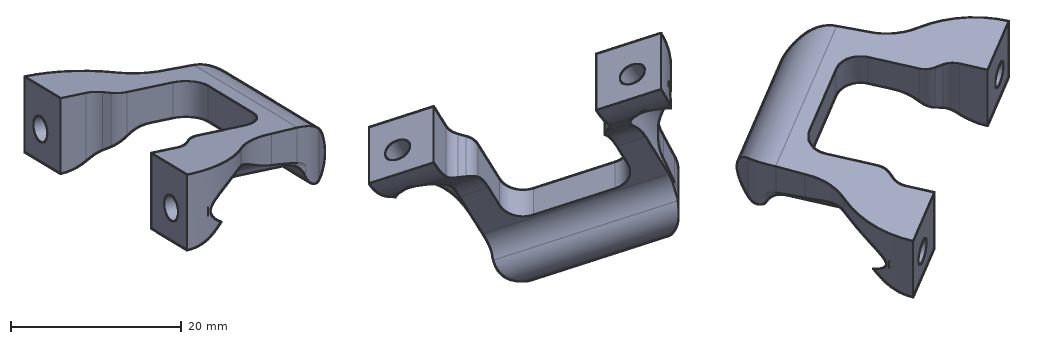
import cadquery as cq
import math

WIDTH = 37.6
DEPTH = 25.0
HEIGHT = 9.5

REAR_EDGE_HALF_WIDTH = 8.3
BRIDGE_HALF_WIDTH = 12.0
BRIDGE_CORNER_Y = 19.0
WAIST_HALF_WIDTH = 12.2
WAIST_Y = 15.4
FOOT_OUTER_RADIUS = 13.6

FOOT_INNER_X = 10.45
ARM_INNER_X = 8.25
BRIDGE_FRONT_Y = 17.0
INNER_CORNER_RADIUS = 3.0
JOG_START_Y = 3.5
JOG_RADIUS = 2.5

ARM_UNDERSIDE_Z = 5.0
ARM_UNDERSIDE_START_Y = 10.8
KNEE_RADIUS = 5.0
SOLE_RADIUS = 7.0
CREST_RADIUS = 6.0
LIP_RADIUS = 2.5
LIP_CENTER_Z = 4.05
LIP_FILLET_RADIUS = 3.0

SCREW_SPACING = 30.2
SCREW_Z = 4.1
SCREW_DIAMETER = 3.2
HEAD_DIAMETER = 6.5
SCREW_SEAT_Y = 3.1


def toward(start, target, distance):
    """Point at the given distance from start, in the direction of target."""
    share = distance / math.dist(start, target)
    return (
        start[0] + share * (target[0] - start[0]),
        start[1] + share * (target[1] - start[1]),
    )


def polar(center, radius, degrees):
    """Point on a circle at the given angle."""
    angle = math.radians(degrees)
    return (center[0] + radius * math.cos(angle), center[1] + radius * math.sin(angle))


def arc(sketch, center, radius, end):
    """Continue the sketch to end along the shorter arc about center."""
    start = sketch.plane.toLocalCoords(sketch.val().endPoint())
    middle_of_chord = ((start.x + end[0]) / 2, (start.y + end[1]) / 2)
    return sketch.threePointArc(toward(center, middle_of_chord, radius), end)


def half_plan():
    """Right half of the plan outline, as a prism of full height."""
    cut_length = DEPTH - BRIDGE_CORNER_Y
    cut_offset = cut_length - (BRIDGE_HALF_WIDTH - REAR_EDGE_HALF_WIDTH)
    corner_radius = cut_offset / (math.sqrt(2) - 1)
    corner_center = (BRIDGE_HALF_WIDTH - corner_radius, BRIDGE_CORNER_Y)

    foot_center = (WIDTH / 2 - FOOT_OUTER_RADIUS, 0)
    gap = WAIST_HALF_WIDTH - foot_center[0]
    waist_radius = (gap**2 + WAIST_Y**2 - FOOT_OUTER_RADIUS**2) / (2 * (FOOT_OUTER_RADIUS - gap))
    waist_center = (WAIST_HALF_WIDTH + waist_radius, WAIST_Y)

    jog_width = FOOT_INNER_X - ARM_INNER_X
    jog_length = jog_width + 2 * JOG_RADIUS * (math.sqrt(2) - 1)
    jog_end_y = JOG_START_Y + jog_length
    jog_low_center = (FOOT_INNER_X - JOG_RADIUS, JOG_START_Y)
    jog_high_center = (ARM_INNER_X + JOG_RADIUS, jog_end_y)

    inner_corner_center = (ARM_INNER_X - INNER_CORNER_RADIUS, BRIDGE_FRONT_Y - INNER_CORNER_RADIUS)

    outline = cq.Workplane("XY").moveTo(0, DEPTH).lineTo(REAR_EDGE_HALF_WIDTH, DEPTH)
    outline = outline.lineTo(*polar(corner_center, corner_radius, 45))
    outline = arc(outline, corner_center, corner_radius, (BRIDGE_HALF_WIDTH, BRIDGE_CORNER_Y))
    outline = outline.lineTo(WAIST_HALF_WIDTH, WAIST_Y)
    outline = arc(outline, waist_center, waist_radius, toward(waist_center, foot_center, waist_radius))
    outline = arc(outline, foot_center, FOOT_OUTER_RADIUS, (WIDTH / 2, 0))
    outline = outline.lineTo(FOOT_INNER_X, 0).lineTo(FOOT_INNER_X, JOG_START_Y)
    outline = arc(outline, jog_low_center, JOG_RADIUS, polar(jog_low_center, JOG_RADIUS, 45))
    outline = outline.lineTo(*polar(jog_high_center, JOG_RADIUS, 225))
    outline = arc(outline, jog_high_center, JOG_RADIUS, (ARM_INNER_X, jog_end_y))
    outline = outline.lineTo(ARM_INNER_X, inner_corner_center[1])
    outline = arc(outline, inner_corner_center, INNER_CORNER_RADIUS, (inner_corner_center[0], BRIDGE_FRONT_Y))
    return outline.lineTo(0, BRIDGE_FRONT_Y).close().extrude(HEIGHT)


def side_profile():
    """Side profile with the rear lip and the S-shaped underside, as a full-width prism."""
    lip_center = (DEPTH - LIP_RADIUS, LIP_CENTER_Z)
    crest_center_z = HEIGHT - CREST_RADIUS
    crest_run = math.sqrt((CREST_RADIUS - LIP_RADIUS) ** 2 - (LIP_CENTER_Z - crest_center_z) ** 2)
    crest_center = (lip_center[0] - crest_run, crest_center_z)

    fillet_center_z = ARM_UNDERSIDE_Z - LIP_FILLET_RADIUS
    fillet_run = math.sqrt((LIP_RADIUS + LIP_FILLET_RADIUS) ** 2 - (LIP_CENTER_Z - fillet_center_z) ** 2)
    fillet_center = (lip_center[0] - fillet_run, fillet_center_z)

    knee_center = (ARM_UNDERSIDE_START_Y, ARM_UNDERSIDE_Z - KNEE_RADIUS)
    sole_center = (0, SOLE_RADIUS)
    center_line_angle = math.atan2(sole_center[1] - knee_center[1], sole_center[0] - knee_center[0])
    center_distance = math.dist(knee_center, sole_center)
    slope_normal = math.degrees(
        center_line_angle - math.acos((KNEE_RADIUS + SOLE_RADIUS) / center_distance)
    )

    profile = cq.Workplane("YZ").moveTo(0, 0).lineTo(0, HEIGHT).lineTo(crest_center[0], HEIGHT)
    profile = arc(profile, crest_center, CREST_RADIUS, toward(crest_center, lip_center, CREST_RADIUS))
    profile = arc(profile, lip_center, LIP_RADIUS, toward(lip_center, fillet_center, LIP_RADIUS))
    profile = arc(profile, fillet_center, LIP_FILLET_RADIUS, (fillet_center[0], ARM_UNDERSIDE_Z))
    profile = profile.lineTo(ARM_UNDERSIDE_START_Y, ARM_UNDERSIDE_Z)
    profile = arc(profile, knee_center, KNEE_RADIUS, polar(knee_center, KNEE_RADIUS, slope_normal))
    profile = profile.lineTo(*polar(sole_center, SOLE_RADIUS, slope_normal + 180))
    profile = arc(profile, sole_center, SOLE_RADIUS, (0, 0))
    return profile.close().extrude(WIDTH / 2, both=True)


def screw_cutter(x):
    """Screw hole from the mounting face, with the head clearance running out through the rear."""
    face = cq.Workplane("XZ").center(x, SCREW_Z)
    shank = face.circle(SCREW_DIAMETER / 2).extrude(-DEPTH)
    head = face.workplane(offset=-SCREW_SEAT_Y).circle(HEAD_DIAMETER / 2).extrude(-DEPTH)
    return shank.union(head)


right_half = half_plan()
plan = right_half.union(right_half.mirror("YZ"))
result = plan.intersect(side_profile())
for screw_x in (-SCREW_SPACING / 2, SCREW_SPACING / 2):
    result = result.cut(screw_cutter(screw_x))